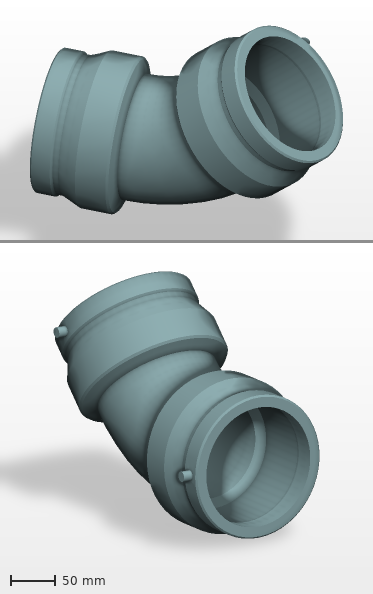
import cadquery as cq
import math

BEND_ANGLE = 45.0
BEND_RADIUS = 157.2
PIPE_RADIUS = 72.8
PIPE_BORE_RADIUS = 61.0

SOCKET_LENGTH = 100.5
RIM_CHAMFER = 2.0
RIM_END = 23.8
NECK_START = 26.5
NECK_END = 33.0
BODY_START = 55.5
BODY_END = 91.2
SHOULDER_START = 94.0

RIM_RADIUS = 167.5 / 2
NECK_RADIUS = 162.3 / 2
BODY_RADIUS = 182.0 / 2
SHOULDER_RADIUS = 88.8
MOUTH_RADIUS = 140.0 / 2

RELIEF_START = 23.8
RELIEF_END = 27.2
RELIEF_RADIUS = 70.5
SEAT_START = 92.5

PIN_RADIUS = 12.0 / 2
PIN_OFFSET = 13.3
PIN_TOP = 186.0 - BODY_RADIUS
PIN_ROOT = (MOUTH_RADIUS + RIM_RADIUS) / 2


def revolve_about_x(points):
    """Revolve a closed (axial position, radius) outline about the X axis."""
    return cq.Workplane("XY").polyline(points).close().revolve(360, (0, 0, 0), (1, 0, 0))


def make_bend(radius):
    """Solid rod following the bend, starting at the inner end of the first socket."""
    return (
        cq.Workplane("YZ", origin=(SOCKET_LENGTH, 0, 0))
        .circle(radius)
        .revolve(BEND_ANGLE, (3.5, BEND_RADIUS, 0), (-3.5, BEND_RADIUS, 0))
    )


def make_socket_body():
    outline = [
        (0, 0),
        (0, RIM_RADIUS - RIM_CHAMFER),
        (RIM_CHAMFER, RIM_RADIUS),
        (RIM_END, RIM_RADIUS),
        (NECK_START, NECK_RADIUS),
        (NECK_END, NECK_RADIUS),
        (BODY_START, BODY_RADIUS),
        (BODY_END, BODY_RADIUS),
        (SHOULDER_START, SHOULDER_RADIUS),
        (SOCKET_LENGTH, PIPE_RADIUS),
        (SOCKET_LENGTH, 0),
    ]
    pin = (
        cq.Workplane("XZ", origin=(PIN_OFFSET, PIN_TOP, 0))
        .circle(PIN_RADIUS)
        .extrude(PIN_TOP - PIN_ROOT)
    )
    return revolve_about_x(outline).union(pin)


def make_socket_bore():
    outline = [
        (0, 0),
        (0, MOUTH_RADIUS),
        (RELIEF_START, MOUTH_RADIUS),
        (RELIEF_END, RELIEF_RADIUS),
        (SEAT_START, RELIEF_RADIUS),
        (SOCKET_LENGTH, PIPE_BORE_RADIUS),
        (SOCKET_LENGTH, 0),
    ]
    return revolve_about_x(outline)


def mirror_to_far_end(shape):
    """Reflect a shape in the plane that halves the bend."""
    half_angle = math.radians(BEND_ANGLE / 2)
    normal = cq.Vector(math.cos(half_angle), 0, math.sin(half_angle))
    bend_center = cq.Vector(SOCKET_LENGTH, 0, BEND_RADIUS)
    return cq.Workplane(shape.val().mirror(normal, bend_center))


socket_body = make_socket_body()
socket_bore = make_socket_bore()

outside = make_bend(PIPE_RADIUS).union(socket_body).union(mirror_to_far_end(socket_body))
passage = make_bend(PIPE_BORE_RADIUS).union(socket_bore).union(mirror_to_far_end(socket_bore))

result = outside.cut(passage)